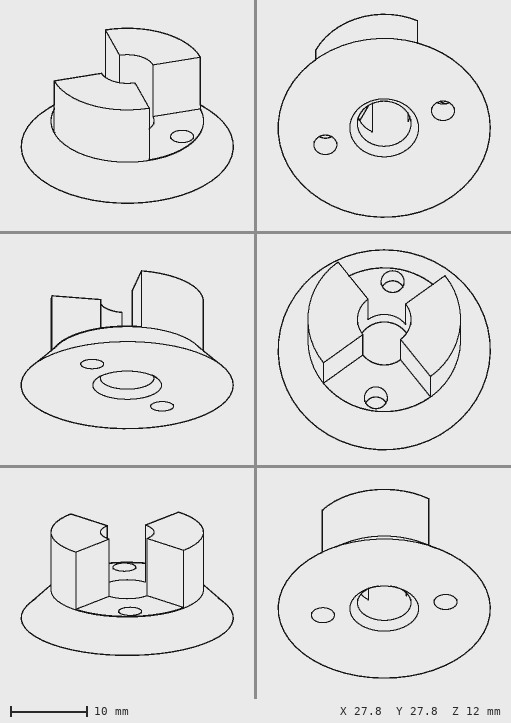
import cadquery as cq

base_diameter = 27.8
hub_diameter = 20.0
bore_diameter = 7.0
total_height = 12.0
floor_height = 4.0
pin_hole_diameter = 3.0
pin_hole_offset = 5.75
bore_chamfer = 1.0

base_radius = base_diameter / 2
hub_radius = hub_diameter / 2
cone_height = base_radius - hub_radius


def make_body():
    """Conical flange with a cylindrical hub, revolved about Z."""
    return (
        cq.Workplane("XZ")
        .polyline([
            (0, 0),
            (base_radius, 0),
            (hub_radius, cone_height),
            (hub_radius, total_height),
            (0, total_height),
        ])
        .close()
        .revolve(360, (0, 0, 0), (0, 1, 0))
    )


def make_quadrant_cut(side):
    """Block that clears one quadrant; side is +1 for +X+Y, -1 for -X-Y."""
    return (
        cq.Workplane("XY", origin=(side * base_radius / 2, side * base_radius / 2, floor_height))
        .rect(base_radius, base_radius)
        .extrude(total_height - floor_height)
    )


def make_through_hole(x, y, diameter):
    """Vertical cylinder spanning the full height."""
    return cq.Workplane("XY").center(x, y).circle(diameter / 2).extrude(total_height)


def make_bore_chamfer():
    """Cone that widens the bottom rim of the bore."""
    bore_radius = bore_diameter / 2
    return cq.Workplane(cq.Solid.makeCone(bore_radius + bore_chamfer, bore_radius, bore_chamfer))


result = make_body().cut(make_through_hole(0, 0, bore_diameter)).cut(make_bore_chamfer())

for side in (1, -1):
    hole_position = side * pin_hole_offset
    result = result.cut(make_quadrant_cut(side))
    result = result.cut(make_through_hole(hole_position, hole_position, pin_hole_diameter))